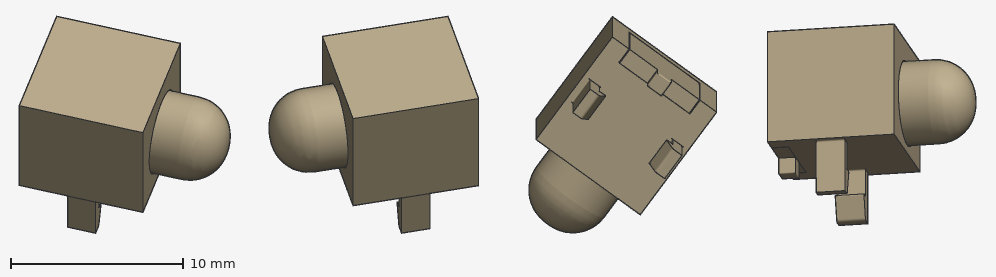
import cadquery as cq


housing_length = 7.5
housing_width = 7.5
housing_height = 6.69

overall_length = 11.5
lens_axis_height = 3.0
lens_diameter = 4.9
dome_radius = 2.25
plate_width = 5.0
plate_thickness = 1.0
plate_height = 5.45
foot_width = 1.0
foot_height = 0.98
foot_rounding = 0.07

lens_hole_diameter = 5.0
plate_gap = (lens_hole_diameter - lens_diameter) / 2

leg_start = 2.8
leg_length = 1.7
leg_inset = 0.45
leg_thickness = 0.65
leg_height = 3.1
barb_depth = 1.6
barb_reach = 0.5
barb_tip_rounding = 0.1
leg_end_rounding = 0.2
leg_root_fillet = 0.1


def box_from_rear(length, width, bottom, top):
    """Block centred on Y that starts at the rear face."""
    return (
        cq.Workplane("XY")
        .box(length, width, top - bottom, centered=(False, True, False))
        .translate((0, 0, bottom))
    )


def lens_axis_plane():
    """YZ plane on the rear face, centred on the lens axis."""
    return cq.Workplane("YZ", origin=(0, 0, lens_axis_height))


def make_leg(side):
    """Leg with an inward barb; side is +1 for the +Y leg and -1 for the -Y leg."""
    outer = housing_width / 2 - leg_inset
    inner = outer - leg_thickness
    barb_tip = inner - barb_reach
    profile = [
        (outer, 0),
        (outer, -leg_height),
        (inner, -leg_height),
        (barb_tip, -barb_depth),
        (inner, -barb_depth),
        (inner, 0),
    ]
    leg = (
        cq.Workplane("YZ", origin=(leg_start, 0, 0))
        .polyline([(side * y, z) for y, z in profile])
        .close()
        .extrude(leg_length)
    )
    middle = leg_start + leg_length / 2
    barb_edge = cq.selectors.NearestToPointSelector((middle, side * barb_tip, -barb_depth))
    end_edge = cq.selectors.NearestToPointSelector((middle, side * inner, -leg_height))
    leg = leg.edges(barb_edge).fillet(barb_tip_rounding)
    return leg.edges(end_edge).fillet(leg_end_rounding)


def make_root_fillet(y, direction):
    """Concave strip between the housing underside and a leg face that looks along direction."""
    reach = y + direction * leg_root_fillet
    return (
        cq.Workplane("YZ", origin=(leg_start, 0, 0))
        .moveTo(y, 0)
        .lineTo(reach, 0)
        .radiusArc((y, -leg_root_fillet), direction * -leg_root_fillet)
        .close()
        .extrude(leg_length)
    )


def make_housing():
    """Block with a rear recess, a lens hole through the front wall and two snap legs."""
    block = box_from_rear(housing_length, housing_width, 0, housing_height)
    recess = box_from_rear(plate_thickness, plate_width + 2 * plate_gap, 0, plate_height + plate_gap)
    lens_hole = lens_axis_plane().circle(lens_hole_diameter / 2).extrude(housing_length)
    housing = block.cut(recess).cut(lens_hole)

    leg_outer = housing_width / 2 - leg_inset
    leg_inner = leg_outer - leg_thickness
    for side in (1, -1):
        housing = housing.union(make_leg(side))
        housing = housing.union(make_root_fillet(side * leg_outer, side))
        housing = housing.union(make_root_fillet(side * leg_inner, -side))
    return housing


def make_light():
    """Rear plate with a foot below it and a domed lens in front."""
    plate = box_from_rear(plate_thickness, plate_width, 0, plate_height)
    foot = box_from_rear(plate_thickness, foot_width, -foot_height, 0)
    foot = foot.faces("<Z").edges().fillet(foot_rounding)
    lens = lens_axis_plane().circle(lens_diameter / 2).extrude(overall_length)
    lens = lens.faces(">X").edges().fillet(dome_radius)
    return plate.union(foot).union(lens)


housing = make_housing()
light = make_light()
result = cq.Compound.makeCompound([housing.solids().val(), light.solids().val()])